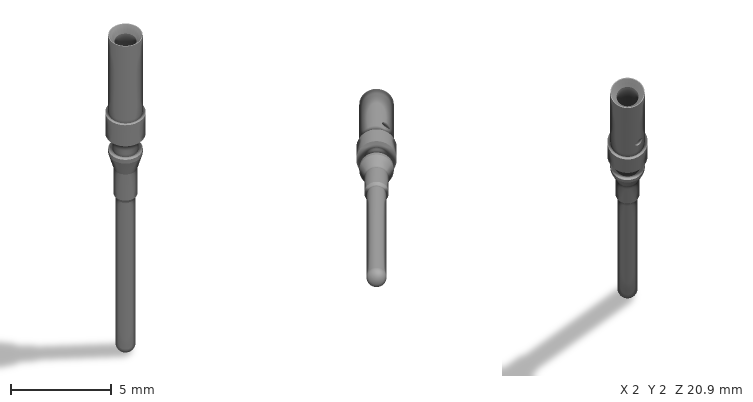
import cadquery as cq
import math

LENGTH = 20.9

PIN_RADIUS = 0.5
SHANK_RADIUS = 0.6
NECK_RADIUS = 0.65
BARREL_RADIUS = 0.85
BARB_RADIUS = BARREL_RADIUS
COLLAR_RADIUS = 1.0

PIN_TOP = 10.22
SHANK_BOTTOM = 10.45
BARB_CONE_BOTTOM = 12.18
BARB_CONE_TOP = 13.13
BARB_TOP = 13.38
COLLAR_BOTTOM = 14.4
COLLAR_TOP = 15.8

MOUTH_RADIUS = 0.82
BORE_RADIUS = 0.55
FUNNEL_DEPTH = 0.4
BORE_DEPTH = 4.8
DRILL_POINT_ANGLE = 118.0

INSPECTION_RADIUS = 0.25
INSPECTION_HEIGHT = 16.93


def make_body():
    """Revolve the stepped outline, with a hemispherical tip."""
    arc_offset = PIN_RADIUS * math.sqrt(0.5)
    outline = (
        cq.Workplane("XZ")
        .moveTo(0, 0)
        .threePointArc((arc_offset, PIN_RADIUS - arc_offset), (PIN_RADIUS, PIN_RADIUS))
        .lineTo(PIN_RADIUS, PIN_TOP)
        .lineTo(SHANK_RADIUS, SHANK_BOTTOM)
        .lineTo(SHANK_RADIUS, BARB_CONE_BOTTOM)
        .lineTo(BARB_RADIUS, BARB_CONE_TOP)
        .lineTo(BARB_RADIUS, BARB_TOP)
        .lineTo(NECK_RADIUS, BARB_TOP)
        .lineTo(NECK_RADIUS, COLLAR_BOTTOM)
        .lineTo(COLLAR_RADIUS, COLLAR_BOTTOM)
        .lineTo(COLLAR_RADIUS, COLLAR_TOP)
        .lineTo(BARREL_RADIUS, COLLAR_TOP)
        .lineTo(BARREL_RADIUS, LENGTH)
        .lineTo(0, LENGTH)
        .close()
    )
    return outline.revolve(360, (0, 0), (0, 1))


def make_bore():
    """Revolve the wire bore that opens at the top of the barrel."""
    bore_bottom = LENGTH - BORE_DEPTH
    point_depth = BORE_RADIUS / math.tan(math.radians(DRILL_POINT_ANGLE / 2))
    outline = (
        cq.Workplane("XZ")
        .moveTo(0, bore_bottom - point_depth)
        .lineTo(BORE_RADIUS, bore_bottom)
        .lineTo(BORE_RADIUS, LENGTH - FUNNEL_DEPTH)
        .lineTo(MOUTH_RADIUS, LENGTH)
        .lineTo(0, LENGTH)
        .close()
    )
    return outline.revolve(360, (0, 0), (0, 1))


def make_inspection_hole():
    """Cylinder from the bore axis out through the +Y wall."""
    return cq.Workplane("XZ").center(0, INSPECTION_HEIGHT).circle(INSPECTION_RADIUS).extrude(-COLLAR_RADIUS)


result = make_body().cut(make_bore()).cut(make_inspection_hole())